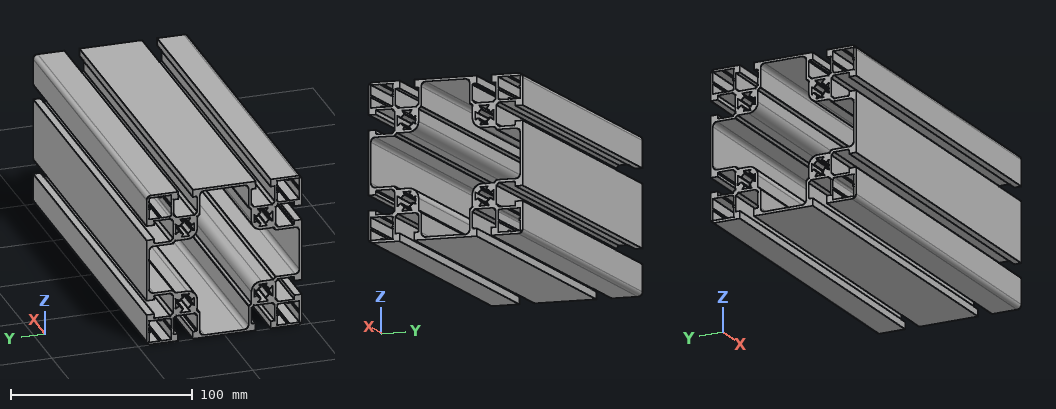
import cadquery as cq
import math

length = 200.0
width = 90.0
half_width = width / 2
corner_radius = 2.5
wall = 1.5

module_center = width / 4

slot_opening = 8.5
lip_depth = 4.5
slot_inner_width = 13.5
slot_floor = 7.2
slot_floor_chamfer = 1.5
lip_chamfer = 0.5

box_inner_side = 8.2
box_corner_radius = 1.2
bead_radius = 0.5

core_half = 6.8
core_round = 5.8
bore_radius = 3.5
arm_neck = 2.8
long_arm_reach = 5.5
long_arm_end = 5.5
short_arm_reach = 5.0
short_arm_end = 4.2

rib_thickness = 1.5
rib_foot = 1.5
cavity_corner_radius = 2.5

diagonal = math.sqrt(0.5)
quarter_turns = (0, 90, 180, 270)
slot_half = slot_inner_width / 2


def rotated(point, angle):
    """Point turned about the origin by an angle in degrees."""
    a = math.radians(angle)
    y, z = point
    return (y * math.cos(a) - z * math.sin(a), y * math.sin(a) + z * math.cos(a))


def section():
    """Sketch plane of the section, with local axes along Y and Z."""
    return cq.Workplane("YZ").workplane(offset=-length / 2)


def around(cutter):
    """Copies of a cutter turned about the bar axis into all four quarters."""
    copies = cutter
    for angle in quarter_turns[1:]:
        copies = copies.union(cutter.rotate((0, 0, 0), (1, 0, 0), angle))
    return copies


def t_slot_pair():
    """The two T-slots open to the +Z side, mirror images across the middle of the bar."""
    floor = module_center + slot_floor
    lip = half_width - lip_depth
    half_opening = slot_opening / 2
    outer_half = [
        (slot_half - slot_floor_chamfer, floor),
        (slot_half, floor + slot_floor_chamfer),
        (slot_half, lip),
        (half_opening, lip),
        (half_opening, half_width),
    ]
    inner_half = [
        (-half_opening, half_width),
        (-half_opening, lip),
        (-slot_half + lip_chamfer, lip),
        (-slot_half, lip - lip_chamfer),
        (-slot_half, floor + slot_floor_chamfer),
        (-slot_half + slot_floor_chamfer, floor),
    ]
    slot = section().center(module_center, 0).polyline(outer_half + inner_half).close().extrude(length)
    return slot.union(slot.mirror("XZ"))


def corner_box():
    """Hollow of the +Y +Z corner, with a small bead along the middle of each wall."""
    near = module_center + box_inner_side
    far = half_width - wall
    middle = (near + far) / 2
    side = far - near
    hollow = section().center(middle, middle).rect(side, side).extrude(length)
    hollow = hollow.edges("|X and <Y and <Z").fillet(box_corner_radius)
    bead_places = [rotated((side / 2, 0), angle) for angle in quarter_turns]
    beads = section().center(middle, middle).pushPoints(bead_places).circle(bead_radius).extrude(length)
    return hollow.cut(beads)


def core_bore():
    """Screw bore of the +Y +Z module: a round hole with four flared arms."""
    bore = section().center(module_center, module_center).circle(bore_radius).extrude(length)
    arms = (
        (0, long_arm_reach, long_arm_end),
        (90, long_arm_reach, long_arm_end),
        (180, short_arm_reach, short_arm_end),
        (270, short_arm_reach, short_arm_end),
    )
    for angle, reach, end in arms:
        outline = [
            (0, -arm_neck / 2),
            (bore_radius, -arm_neck / 2),
            (reach, -end / 2),
            (reach, end / 2),
            (bore_radius, arm_neck / 2),
            (0, arm_neck / 2),
        ]
        points = [rotated(point, angle) for point in outline]
        arm = section().center(module_center, module_center).polyline(points).close().extrude(length)
        bore = bore.union(arm)
    return bore


def central_cavity():
    """Cross-shaped cavity that wraps round the four screw cores."""
    face = half_width - wall
    rib_side = module_center - slot_half - rib_thickness
    rib_end = module_center + slot_floor
    core_side = module_center - core_half
    arc_center = core_side + core_round
    core_mid = arc_center - core_round * diagonal
    r = cavity_corner_radius
    r_mid = r * (1 - diagonal)

    outline = section().moveTo(face, 0)
    for angle in quarter_turns:
        def at(y, z):
            return rotated((y, z), angle)

        outline = (
            outline.lineTo(*at(face, rib_side - r))
            .threePointArc(at(face - r_mid, rib_side - r_mid), at(face - r, rib_side))
            .lineTo(*at(rib_end, rib_side))
            .lineTo(*at(rib_end, core_side - rib_foot))
            .lineTo(*at(rib_end - rib_foot, core_side))
            .lineTo(*at(arc_center, core_side))
            .threePointArc(at(core_mid, core_mid), at(core_side, arc_center))
            .lineTo(*at(core_side, rib_end - rib_foot))
            .lineTo(*at(core_side - rib_foot, rib_end))
            .lineTo(*at(rib_side, rib_end))
            .lineTo(*at(rib_side, face - r))
            .threePointArc(at(rib_side - r_mid, face - r_mid), at(rib_side - r, face))
            .lineTo(*at(0, face))
        )
    return outline.close().extrude(length)


bar = section().rect(width, width).extrude(length).edges("|X").fillet(corner_radius)
bar = bar.cut(central_cavity())
bar = bar.cut(around(t_slot_pair()))
bar = bar.cut(around(corner_box()))
result = bar.cut(around(core_bore()))